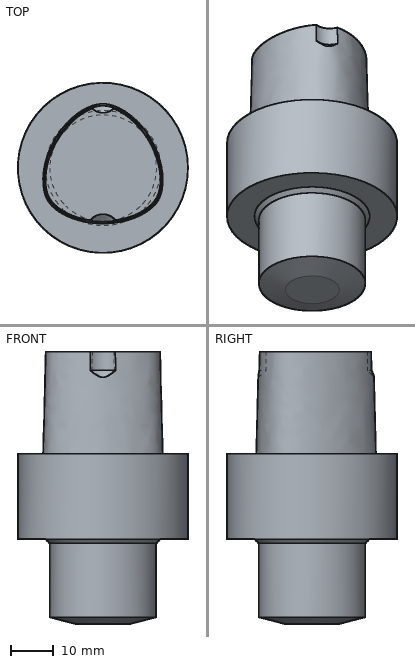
import cadquery as cq
import math

total_height = 64.0
flange_diameter = 40.0
flange_bottom = 20.0
flange_top = 40.0
shank_diameter = 25.0
tip_diameter = 12.7
tip_chamfer_height = 1.6
collar_height = 1.0

lobe_base_width = 28.15
lobe_top_width = 26.95
lobe_eccentricity = 0.95
curve_points = 72

notch_diameter = 7.4
notch_wall_depth = 4.4
notch_point_height = 3.4
notch_wall_distances = {1: 12.9, -1: 10.9}


def make_turned_body():
    shank_radius = shank_diameter / 2
    collar_bottom = flange_bottom - collar_height
    return (
        cq.Workplane("XZ")
        .moveTo(0, 0)
        .lineTo(tip_diameter / 2, 0)
        .lineTo(shank_radius, tip_chamfer_height)
        .lineTo(shank_radius, collar_bottom)
        .lineTo(shank_radius + collar_height, flange_bottom)
        .lineTo(flange_diameter / 2, flange_bottom)
        .lineTo(flange_diameter / 2, flange_top)
        .lineTo(0, flange_top)
        .close()
        .revolve(360, (0, 0, 0), (0, 1, 0))
    )


def lobe_wire(width, height):
    """Closed constant-width curve with one lobe pointing along +Y."""

    def point(fraction):
        angle = 2 * math.pi * fraction + math.pi / 2
        lobe_phase = 3 * (angle - math.pi / 2)
        support = width / 2 + lobe_eccentricity * math.cos(lobe_phase)
        support_rate = -3 * lobe_eccentricity * math.sin(lobe_phase)
        x = support * math.cos(angle) - support_rate * math.sin(angle)
        y = support * math.sin(angle) + support_rate * math.cos(angle)
        return cq.Vector(x, y, height)

    points = [point(i / curve_points) for i in range(curve_points)]
    return cq.Wire.assembleEdges([cq.Edge.makeSpline(points, periodic=True)])


def make_tapered_shank():
    base = lobe_wire(lobe_base_width, flange_top)
    top = lobe_wire(lobe_top_width, total_height)
    return cq.Workplane(cq.Solid.makeLoft([base, top], True))


def make_notch_cutter(side, wall_distance):
    """Drill-shaped cutter: a cylinder ending in a conical point."""
    radius = notch_diameter / 2
    wall_bottom = total_height - notch_wall_depth
    return (
        cq.Workplane("XZ")
        .moveTo(0, wall_bottom - notch_point_height)
        .lineTo(radius, wall_bottom)
        .lineTo(radius, total_height)
        .lineTo(0, total_height)
        .close()
        .revolve(360, (0, 0, 0), (0, 1, 0))
        .translate((0, side * (wall_distance + radius), 0))
    )


result = make_turned_body().union(make_tapered_shank())
for side, wall_distance in notch_wall_distances.items():
    result = result.cut(make_notch_cutter(side, wall_distance))